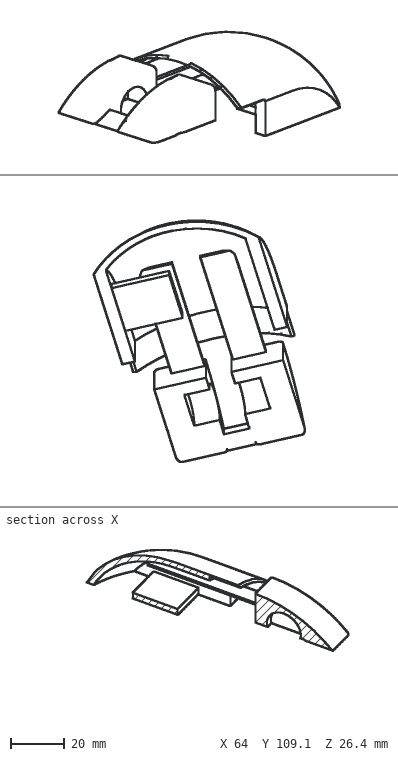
import cadquery as cq
import math

total_length = 109.1
shell_width = 64.0
shell_height = 26.4
arch_radius = 47.4
shell_thickness = 2.7
side_wall = 4.9
dome_start_y = 69.2
wall_front_y = 53.8
dome_reach = total_length - dome_start_y
dome_radius = (dome_reach**2 + shell_height**2) / (2 * shell_height)
dome_axis_z = shell_height - dome_radius
arch_center_z = shell_height - arch_radius

lip_front_y = 40.4
lip_width = 62.6
lip_thickness = 1.0
lip_round = 0.9
lip_bottom_z = 14.4

button_width = 20.1
button_gap = 9.8
button_length = 33.8
button_bottom_z = 10.0
button_top_z = 23.8
button_round = 2.02
button_offset = (button_gap + button_width) / 2
button_height = button_top_z - button_bottom_z
button_radius = (button_length**2 + button_height**2) / (2 * button_height)
tab_width = 12.9
tab_inner_x = 5.5
tab_bottom_z = 18.4
tab_thickness = 1.1
tab_back_y = 80.8

wheel_radius = 7.3
wheel_y = 21.4
wheel_z = 11.8
wheel_recess_depth = 9.8
bar_front_y = 0.4
bar_back_y = 7.9
bar_top_z = 14.0
groove_y = 13.8
groove_width = 4.5
groove_depth = 0.3

block_left_x = 4.8
block_front_y = 67.7
block_length = 19.6
block_bottom_z = 0.3
block_height = 3.0


def arch_section(width, radius, bottom_z, y):
    """Cross-section facing -Y with vertical sides and an arched top."""
    half = width / 2
    side_z = arch_center_z + math.sqrt(radius**2 - half**2)
    return (
        cq.Workplane("XZ", origin=(0, y, 0))
        .moveTo(-half, bottom_z)
        .lineTo(-half, side_z)
        .threePointArc((0, arch_center_z + radius), (half, side_z))
        .lineTo(half, bottom_z)
        .close()
    )


def domed_block(width, radius, front_y):
    """Straight arched body whose back end turns about a crosswise axis."""
    straight = arch_section(width, radius, 0, dome_start_y).extrude(dome_start_y - front_y)
    dome = arch_section(width, radius, dome_axis_z, dome_start_y).revolve(
        90, (0, dome_axis_z, 0), (-1, dome_axis_z, 0)
    )
    floor_cut = cq.Workplane("XY").box(
        2 * shell_width, 4 * total_length, total_length, centered=(True, True, False)
    ).translate((0, 0, -total_length))
    return straight.union(dome.cut(floor_cut))


def make_shell():
    outer = domed_block(shell_width, arch_radius, wall_front_y)
    cavity_width = shell_width - 2 * side_wall
    cavity = domed_block(cavity_width, arch_radius - shell_thickness, wall_front_y)
    return outer.cut(cavity)


def make_lip():
    length = dome_start_y - lip_front_y
    outer = arch_section(lip_width, arch_radius, lip_bottom_z, dome_start_y).extrude(length)
    outer = outer.faces("<Y").edges("%CIRCLE").fillet(lip_round)
    inner = (
        cq.Workplane("XZ", origin=(0, dome_start_y, 0))
        .center(0, arch_center_z)
        .circle(arch_radius - lip_thickness)
        .extrude(length)
    )
    return outer.cut(inner)


def make_button(center_x):
    """Button rounded along its curved top, then trimmed flat underneath."""
    center_z = button_top_z - button_radius
    low_z = button_bottom_z - 2 * button_round
    low_y = button_length - math.sqrt(button_radius**2 - (low_z - center_z) ** 2)
    middle = button_radius / math.sqrt(2)
    button = (
        cq.Workplane("YZ", origin=(center_x - button_width / 2, 0, 0))
        .moveTo(button_length, low_z)
        .lineTo(button_length, button_top_z)
        .threePointArc((button_length - middle, center_z + middle), (low_y, low_z))
        .close()
        .extrude(button_width)
    )
    button = button.edges("%CIRCLE").fillet(button_round)
    trim = cq.Workplane("XY").box(
        2 * shell_width, total_length, button_bottom_z, centered=(True, True, False)
    )
    return button.cut(trim)


def make_tab(left_x):
    overlap = 1.1
    front_y = button_length - overlap
    return cq.Workplane("XY").box(
        tab_width, tab_back_y - front_y, tab_thickness, centered=False
    ).translate((left_x, front_y, tab_bottom_z))


def make_bar():
    """Sloping wedge joining the front ends of both buttons."""
    width = button_gap + 2 * button_round
    return (
        cq.Workplane("YZ", origin=(-width / 2, 0, 0))
        .moveTo(bar_front_y, button_bottom_z)
        .lineTo(bar_back_y, bar_top_z)
        .lineTo(bar_back_y, button_bottom_z)
        .close()
        .extrude(width)
    )


def cross_cylinder(y, z, radius, length):
    return (
        cq.Workplane("YZ", origin=(-length / 2, 0, 0))
        .center(y, z)
        .circle(radius)
        .extrude(length)
    )


def make_block():
    length_x = shell_width / 2 - side_wall - block_left_x
    return cq.Workplane("XY").box(
        length_x, block_length, block_height, centered=False
    ).translate((block_left_x, block_front_y, block_bottom_z))


buttons = make_button(-button_offset).union(make_button(button_offset)).union(make_bar())
wheel_span = button_gap + 2 * wheel_recess_depth
buttons = buttons.cut(cross_cylinder(wheel_y, wheel_z, wheel_radius, wheel_span))
groove_radius = ((groove_width / 2) ** 2 + groove_depth**2) / (2 * groove_depth)
groove_z = button_bottom_z + groove_depth - groove_radius
buttons = buttons.cut(cross_cylinder(groove_y, groove_z, groove_radius, shell_width))

result = make_shell().union(make_lip()).union(make_block()).union(buttons)
for left_x in (-tab_inner_x - tab_width, tab_inner_x):
    result = result.union(make_tab(left_x))